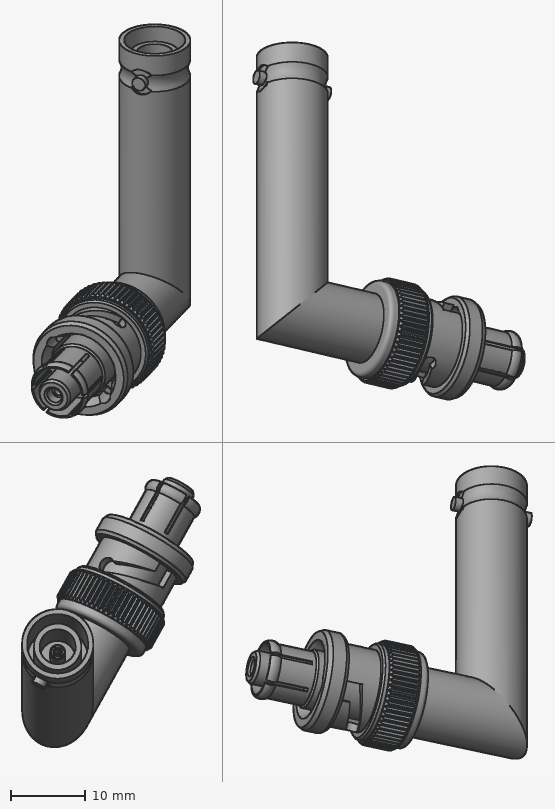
import cadquery as cq
import math


tube_r = 4.82
jack_top = 37.845
jack_bore_r = 4.12
jack_bore_depth = 9.0
jack_ring_outer_r = 3.2
jack_ring_inner_r = 2.42
jack_ring_recess = 1.8
jack_contact_r = 1.03
jack_contact_recess = 5.0
jack_contact_chamfer = 0.15
jack_contact_hole_r = 0.4
jack_contact_hole_depth = 3.0
jack_contact_countersink = 0.2

stud_z = 33.69
stud_r = 0.95
stud_span = 11.0
groove_width = 2.46
groove_depth = 0.31
stud_flat_r = 1.85
stud_flat_offset = 4.55

shoulder = 17.0
barrel_r = 4.05
barrel_end = 26.72
barrel_chamfer = 0.27
finger_outer_r = 3.76
finger_inner_r = 3.55
finger_end = 33.3
bead_start = 31.76
bead_r = 4.06
finger_slot_start = 27.28
finger_slot_width = 0.5
finger_slot_count = 6
insulator_r = 2.3
plug_tip = 34.68
insulator_chamfer_length = 0.42
insulator_chamfer_depth = 0.28
socket_bore_r = 1.07
socket_bore_depth = 5.0
socket_bore_chamfer = 0.28
plug_contact_r = 0.88
plug_contact_recess = 1.6
plug_contact_hole_r = 0.58
plug_contact_hole_depth = 3.0

nut_rear = 11.48
collar_r = 6.68
collar_front = 18.12
collar_rear_round = 0.6
collar_front_chamfer_length = 0.3
collar_chamfer_depth = 0.25
knurl_start = 12.78
knurl_end = 17.28
knurl_r = 7.24
knurl_chamfer_length = 0.48
knurl_chamfer_depth = 0.3
knurl_count = 60
knurl_depth = 0.27
knurl_groove_fraction = 0.74
sleeve_r = 5.73
sleeve_bore_r = 4.63
flange_start = 23.06
flange_front = 26.12
flange_r = 6.95
flange_rear_chamfer_length = 0.48
flange_front_chamfer_length = 0.65
flange_chamfer_depth = 0.32
mouth_r = 5.45
mouth_depth = 1.6

track_count = 2
entry_angle = 138.0
entry_width = 2.75
entry_reach = 5.8
ramp_end_angle = 148.0
catch_angle = 58.0
catch_position = 19.3
catch_r = 1.05
ramp_start = 19.05
ramp_rise_per_radian = 1.5
ramp_width = 1.75


def revolve(outline):
    """Turn an (r, distance) outline about the local Z axis."""
    return outline.close().revolve(360, (0, 0, 0), (0, 1, 0))


def disc(radius, start, end):
    return cq.Workplane("XY").workplane(offset=start).circle(radius).extrude(end - start)


def face_forward(shape):
    """Turn a shape built along +Z so that it points along -Y with its Y axis up."""
    return shape.rotate((0, 0, 0), (1, 0, 0), 90)


def make_elbow_tube():
    path = cq.Workplane("YZ").moveTo(0, jack_top).lineTo(0, 0).lineTo(-shoulder, 0)
    return cq.Workplane("XY", origin=(0, 0, jack_top)).circle(tube_r).sweep(path, transition="right")


def add_studs(body):
    groove = revolve(
        cq.Workplane("XZ")
        .moveTo(tube_r, stud_z - groove_width / 2)
        .threePointArc((tube_r - groove_depth, stud_z), (tube_r, stud_z + groove_width / 2))
        .lineTo(tube_r + groove_depth, stud_z + groove_width / 2)
        .lineTo(tube_r + groove_depth, stud_z - groove_width / 2)
    )
    body = body.cut(groove)
    stud_plane = cq.Workplane("XZ", origin=(0, 0, stud_z))
    flat_cutter = stud_plane.circle(stud_flat_r).extrude(stud_span / 2, both=True)
    kept_core = cq.Workplane("XY", origin=(0, 0, stud_z)).box(
        2 * tube_r, 2 * stud_flat_offset, 2 * stud_flat_r)
    body = body.cut(flat_cutter.cut(kept_core))
    stud_bar = stud_plane.circle(stud_r).extrude(stud_span / 2, both=True)
    core = disc((jack_bore_r + tube_r) / 2, stud_z - groove_width, stud_z + groove_width)
    return body.union(stud_bar.cut(core))


def add_jack_interior(body):
    floor = jack_top - jack_bore_depth
    body = body.cut(disc(jack_bore_r, floor, jack_top))
    ring = (
        cq.Workplane("XY", origin=(0, 0, floor))
        .circle(jack_ring_outer_r)
        .circle(jack_ring_inner_r)
        .extrude(jack_bore_depth - jack_ring_recess)
    )
    tip = jack_top - jack_contact_recess
    contact = disc(jack_contact_r, floor, tip).faces(">Z").chamfer(jack_contact_chamfer)
    contact = contact.cut(disc(jack_contact_hole_r, tip - jack_contact_hole_depth, tip))
    contact = contact.faces(">Z").edges(
        cq.selectors.RadiusNthSelector(0)).chamfer(jack_contact_countersink)
    return body.union(ring).union(contact)


def make_plug():
    shell = revolve(
        cq.Workplane("XZ")
        .moveTo(0, shoulder)
        .lineTo(barrel_r, shoulder)
        .lineTo(barrel_r, barrel_end - barrel_chamfer)
        .lineTo(barrel_r - barrel_chamfer, barrel_end)
        .lineTo(finger_outer_r, barrel_end)
        .lineTo(finger_outer_r, bead_start)
        .threePointArc((bead_r, (bead_start + finger_end) / 2), (finger_outer_r, finger_end))
        .lineTo(finger_inner_r, finger_end)
        .lineTo(finger_inner_r, finger_slot_start)
        .lineTo(0, finger_slot_start)
    )
    slot_length = finger_end - finger_slot_start
    slot = cq.Workplane("XY", origin=(0, 0, finger_slot_start)).box(
        bead_r, finger_slot_width, slot_length, centered=(False, True, False))
    for index in range(finger_slot_count):
        shell = shell.cut(slot.rotate((0, 0, 0), (0, 0, 1), index * 360 / finger_slot_count))
    return shell.union(make_insulator())


def make_insulator():
    contact_tip = plug_tip - plug_contact_recess
    bore_floor = plug_tip - socket_bore_depth
    hole_floor = contact_tip - plug_contact_hole_depth
    return revolve(
        cq.Workplane("XZ")
        .moveTo(0, finger_slot_start)
        .lineTo(insulator_r, finger_slot_start)
        .lineTo(insulator_r, plug_tip - insulator_chamfer_length)
        .lineTo(insulator_r - insulator_chamfer_depth, plug_tip)
        .lineTo(socket_bore_r + socket_bore_chamfer, plug_tip)
        .lineTo(socket_bore_r, plug_tip - socket_bore_chamfer)
        .lineTo(socket_bore_r, bore_floor)
        .lineTo(plug_contact_r, bore_floor)
        .lineTo(plug_contact_r, contact_tip)
        .lineTo(plug_contact_hole_r, contact_tip)
        .lineTo(plug_contact_hole_r, hole_floor)
        .lineTo(0, hole_floor)
    )


def make_elbow_body():
    body = add_jack_interior(add_studs(make_elbow_tube()))
    return body.union(face_forward(make_plug()))


def make_nut_blank():
    return revolve(
        cq.Workplane("XZ")
        .moveTo(tube_r, nut_rear)
        .lineTo(collar_r - collar_rear_round, nut_rear)
        .radiusArc((collar_r, nut_rear + collar_rear_round), -collar_rear_round)
        .lineTo(collar_r, collar_front - collar_front_chamfer_length)
        .lineTo(collar_r - collar_chamfer_depth, collar_front)
        .lineTo(sleeve_r, collar_front)
        .lineTo(sleeve_r, flange_start)
        .lineTo(flange_r - flange_chamfer_depth, flange_start)
        .lineTo(flange_r, flange_start + flange_rear_chamfer_length)
        .lineTo(flange_r, flange_front - flange_front_chamfer_length)
        .lineTo(flange_r - flange_chamfer_depth, flange_front)
        .lineTo(mouth_r, flange_front)
        .lineTo(sleeve_bore_r, flange_front - mouth_depth)
        .lineTo(sleeve_bore_r, shoulder)
        .lineTo(tube_r, shoulder)
    )


def make_knurl():
    """A toothed band with chamfered ends that fits round the collar."""
    pitch_angle = 2 * math.pi / knurl_count
    groove_half_angle = knurl_groove_fraction * pitch_angle / 2
    outline = []
    for index in range(knurl_count):
        middle = index * pitch_angle
        for radius, angle in (
            (knurl_r, middle - groove_half_angle),
            (knurl_r - knurl_depth, middle),
            (knurl_r, middle + groove_half_angle),
        ):
            outline.append((radius * math.cos(angle), radius * math.sin(angle)))
    teeth = cq.Workplane("XY", origin=(0, 0, knurl_start)).polyline(outline).close()
    teeth = teeth.extrude(knurl_end - knurl_start)
    end_r = knurl_r - knurl_chamfer_depth
    envelope = revolve(
        cq.Workplane("XZ")
        .moveTo(collar_r, knurl_start)
        .lineTo(end_r, knurl_start)
        .lineTo(knurl_r, knurl_start + knurl_chamfer_length)
        .lineTo(knurl_r, knurl_end - knurl_chamfer_length)
        .lineTo(end_r, knurl_end)
        .lineTo(collar_r, knurl_end)
    )
    return teeth.intersect(envelope)


def make_track():
    """One bayonet track, cut through the sleeve wall and along the flange bore."""
    wall_middle = (sleeve_bore_r + sleeve_r) / 2
    cutter_depth = 2 * (sleeve_r - sleeve_bore_r)

    ramp_rise = ramp_rise_per_radian * math.radians(ramp_end_angle - catch_angle)
    pitch = ramp_rise_per_radian * 2 * math.pi
    helix = cq.Wire.makeHelix(pitch, ramp_rise, wall_middle)
    ramp = (
        cq.Workplane("XZ", origin=(wall_middle, 0, 0))
        .rect(cutter_depth, ramp_width)
        .sweep(cq.Workplane(obj=helix), isFrenet=True)
        .translate((0, 0, ramp_start))
        .rotate((0, 0, 0), (0, 0, 1), catch_angle)
    )
    catch = (
        cq.Workplane("YZ", origin=(wall_middle - cutter_depth / 2, 0, catch_position))
        .circle(catch_r)
        .extrude(cutter_depth)
        .rotate((0, 0, 0), (0, 0, 1), catch_angle)
    )
    entry_start = ramp_start + ramp_rise - ramp_width / 2
    entry_inner = entry_reach - entry_width / 2
    slot = cq.Workplane("XY", origin=(entry_inner, 0, entry_start)).box(
        cutter_depth, entry_width, flange_start - entry_start, centered=(False, True, False))
    channel = disc(entry_width / 2, entry_start, flange_front).translate((entry_inner, 0, 0))
    entry = slot.union(channel).rotate((0, 0, 0), (0, 0, 1), entry_angle)
    return [ramp, catch, entry]


def make_coupling_nut():
    nut = make_nut_blank().union(make_knurl())
    for index in range(track_count):
        for cutter in make_track():
            nut = nut.cut(cutter.rotate((0, 0, 0), (0, 0, 1), index * 360 / track_count))
    return face_forward(nut)


elbow_body = make_elbow_body()
coupling_nut = make_coupling_nut()

result = cq.Compound.makeCompound([elbow_body.val(), coupling_nut.val()])